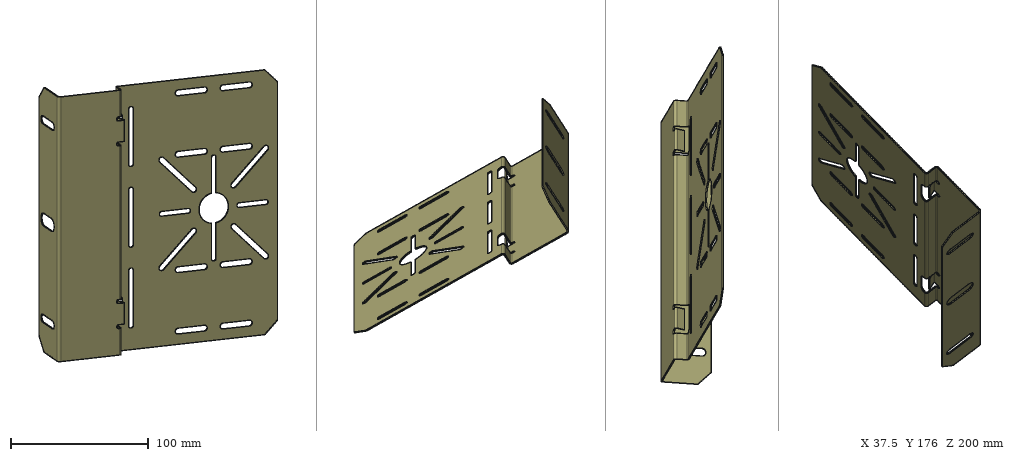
import cadquery as cq
import math


height = 200.0
depth = 176.0
flange_width = 37.5
thickness = 1.0
inside_radius = 1.0
outside_radius = inside_radius + thickness
corner_chamfer = 10.0

plate_x = 26.5
step_y = 49.0
web_x = flange_width
plate_mid_x = plate_x + thickness / 2

hole_diameter = 23.0
hole_to_plate_end = 50.0
hole_y = depth - hole_to_plate_end
star_slot_width = 3.5
upright_star_reach = 40.0
level_star_inner = 18.2
level_star_outer = 42.5
diagonal_slot_width = 4.2
diagonal_inner = 20.0
diagonal_outer = 59.8

row_slot_length = 25.0
row_slot_width = 4.5
row_slot_spacing = 35.2
row_heights = (43.5, 90.0)

upright_slot_length = 45.5
upright_slot_width = 3.5
upright_slot_y = 61.2
upright_slot_pitch = 61.0

flange_slot_length = 25.5
flange_slot_width = 6.0
flange_middle_slot_width = 9.5
flange_slot_x = 16.8
flange_slot_pitch = 75.0

hook_z = 69.0
hook_width = 16.0
hook_gap = 3.0
window_start_y = 46.0
window_end_y = 54.5
window_corner_radius = 3.5
hook_top_y = 53.2
hook_inside_radius = 0.5
hook_outside_radius = hook_inside_radius + thickness
hook_slope = 22.0
hook_run = 7.8


def slot_cutter(plane, length, width, angle=0.0):
    """Round-ended slot through one sheet, centred on the plane's origin."""
    return plane.slot2D(length, width, angle).extrude(2 * thickness, both=True)


def plate_slot(y, z, length, width, angle=0.0):
    """Slot through the main plate; the angle is measured from Y towards Z."""
    plane = cq.Workplane("YZ", origin=(plate_mid_x, y, z))
    return slot_cutter(plane, length, width, angle)


def bend(body, x, y, radius):
    """Round the upright edge that passes through (x, y)."""
    return body.edges(cq.selectors.NearestToPointSelector((x, y, 0))).fillet(radius)


def bent_sheet():
    t = thickness
    outline = [
        (0, 0),
        (web_x, 0),
        (web_x, step_y + t),
        (plate_x + t, step_y + t),
        (plate_x + t, depth),
        (plate_x, depth),
        (plate_x, step_y),
        (web_x - t, step_y),
        (web_x - t, t),
        (0, t),
    ]
    sheet = cq.Workplane("XY").polyline(outline).close().extrude(height / 2, both=True)
    outer_corners = [(web_x, 0), (web_x, step_y + t), (plate_x, step_y)]
    inner_corners = [(web_x - t, t), (web_x - t, step_y), (plate_x + t, step_y + t)]
    for x, y in outer_corners:
        sheet = bend(sheet, x, y, outside_radius)
    for x, y in inner_corners:
        sheet = bend(sheet, x, y, inside_radius)
    sheet = sheet.faces("<X").edges("|Y").chamfer(corner_chamfer)
    return sheet.faces(">Y").edges("|X").chamfer(corner_chamfer)


def star_pattern():
    """Cable hole with eight slots radiating from it."""
    hole_plane = cq.Workplane("YZ", origin=(plate_mid_x, hole_y, 0))
    cutter = hole_plane.circle(hole_diameter / 2).extrude(2 * thickness, both=True)
    cutter = cutter.union(plate_slot(hole_y, 0, 2 * upright_star_reach, star_slot_width, 90))

    level_length = level_star_outer - level_star_inner
    level_middle = (level_star_outer + level_star_inner) / 2
    for side in (-1, 1):
        cutter = cutter.union(plate_slot(hole_y + side * level_middle, 0, level_length, star_slot_width))

    diagonal_length = diagonal_outer - diagonal_inner
    diagonal_middle = (diagonal_outer + diagonal_inner) / 2
    for angle in (45, 135, 225, 315):
        y = hole_y + diagonal_middle * math.cos(math.radians(angle))
        z = diagonal_middle * math.sin(math.radians(angle))
        cutter = cutter.union(plate_slot(y, z, diagonal_length, diagonal_slot_width, angle))
    return cutter


def row_slots():
    cutter = cq.Workplane()
    for row in row_heights:
        for z in (-row, row):
            for side in (-1, 1):
                y = hole_y + side * row_slot_spacing / 2
                cutter = cutter.add(plate_slot(y, z, row_slot_length, row_slot_width))
    return cutter.combine()


def upright_slots():
    cutter = cq.Workplane()
    for z in (-upright_slot_pitch, 0, upright_slot_pitch):
        cutter = cutter.add(plate_slot(upright_slot_y, z, upright_slot_length, upright_slot_width, 90))
    return cutter.combine()


def flange_slots():
    cutter = cq.Workplane()
    widths = (flange_slot_width, flange_middle_slot_width, flange_slot_width)
    for place, width in zip((-1, 0, 1), widths):
        plane = cq.Workplane("XZ", origin=(flange_slot_x, thickness / 2, place * flange_slot_pitch))
        cutter = cutter.add(slot_cutter(plane, flange_slot_length, width))
    return cutter.combine()


def hook_window(z):
    """Opening that frees a hook on three sides, with a round-ended gap along each of its edges."""
    gap_end_y = window_start_y + hook_gap / 2
    window_height = hook_width + 2 * hook_gap
    middle_y = (gap_end_y + window_end_y) / 2
    sheet_span = web_x - plate_x
    window = (
        cq.Workplane("YZ", origin=(plate_x, middle_y, z))
        .rect(window_end_y - gap_end_y, window_height)
        .extrude(sheet_span)
        .faces(">Y").edges("|X").fillet(window_corner_radius)
    )
    gap_ends = (
        cq.Workplane("YZ", origin=(plate_x, gap_end_y, z))
        .rarray(2, hook_width + hook_gap, 1, 2)
        .circle(hook_gap / 2)
        .extrude(sheet_span)
    )
    return window.union(gap_ends)


def hook(z):
    """Tongue that continues the web and folds back over the step."""
    t = thickness
    slope = math.radians(hook_slope)
    root_y = window_start_y + hook_gap / 2
    tip_x = web_x - hook_run
    tip_y = hook_top_y - hook_run * math.tan(slope)
    inner_tip_x = tip_x + t * math.sin(slope)
    inner_tip_y = tip_y - t * math.cos(slope)
    inner_corner_x = web_x - t
    inner_corner_y = inner_tip_y + (inner_corner_x - inner_tip_x) * math.tan(slope)
    outline = [
        (web_x, root_y),
        (web_x, hook_top_y),
        (tip_x, tip_y),
        (inner_tip_x, inner_tip_y),
        (inner_corner_x, inner_corner_y),
        (inner_corner_x, root_y),
    ]
    tongue = cq.Workplane("XY").polyline(outline).close().extrude(hook_width / 2, both=True)
    tongue = bend(tongue, web_x, hook_top_y, hook_outside_radius)
    tongue = bend(tongue, inner_corner_x, inner_corner_y, hook_inside_radius)
    return tongue.translate((0, 0, z))


result = bent_sheet()
for cutter in (star_pattern(), row_slots(), upright_slots(), flange_slots()):
    result = result.cut(cutter)
for z in (-hook_z, hook_z):
    result = result.cut(hook_window(z)).union(hook(z))